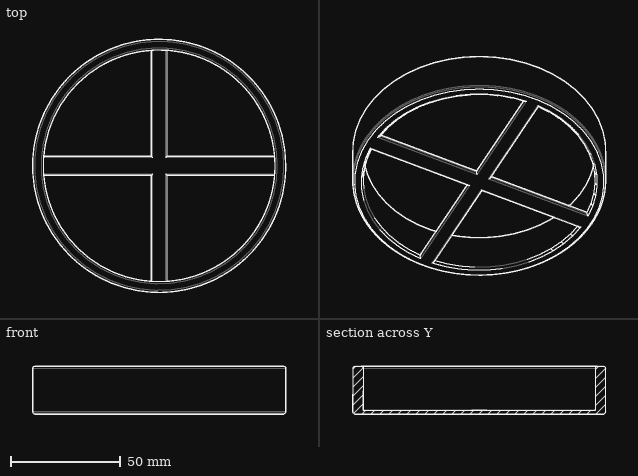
import cadquery as cq

outer_diameter = 116.0
inner_diameter = 106.0
ring_height = 22.0
ring_edge_radius = 1.0
foot_chamfer = 1.0
foot_blend_radius = 1.0

x_bar_width = 8.8
y_bar_width = 7.3
bar_thickness = 2.0
bar_edge_radius = 0.7

bar_length = (outer_diameter + inner_diameter) / 2


def make_ring():
    """Ring with rounded rims and a chamfered outer foot that blends into the outer wall."""
    disc = cq.Workplane("XY").circle(outer_diameter / 2).extrude(ring_height)
    disc = disc.faces("<Z").edges().chamfer(foot_chamfer)
    disc = disc.edges("%CIRCLE").edges(">>Z[1]").fillet(foot_blend_radius)
    disc = disc.faces(">Z").edges().fillet(ring_edge_radius)

    bore = cq.Workplane("XY").circle(inner_diameter / 2).extrude(ring_height)
    ring = disc.cut(bore)
    bore_rims = ring.faces("<Z or >Z").edges(cq.selectors.RadiusNthSelector(0))
    return bore_rims.fillet(ring_edge_radius)


def make_cross():
    """Flat cross with rounded upper and lower edges and ends trimmed inside the ring wall."""
    x_bar = cq.Workplane("XY").rect(bar_length, x_bar_width).extrude(bar_thickness)
    y_bar = cq.Workplane("XY").rect(y_bar_width, bar_length).extrude(bar_thickness)
    cross = x_bar.union(y_bar)
    cross = cross.faces("<Z or >Z").edges().fillet(bar_edge_radius)
    envelope = cq.Workplane("XY").circle(bar_length / 2).extrude(bar_thickness)
    return cross.intersect(envelope)


result = make_ring().union(make_cross())